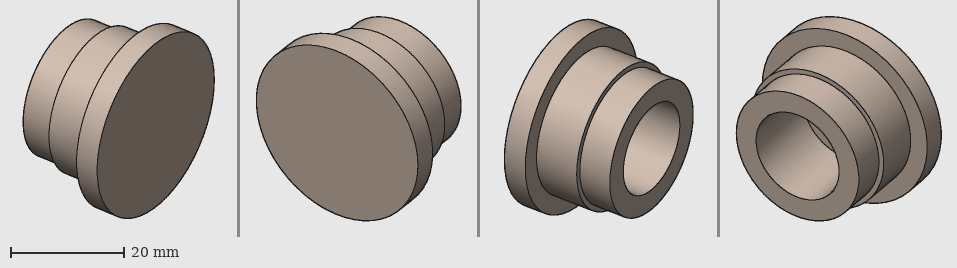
import cadquery as cq

nose_diameter = 26.0
nose_length = 6.4
body_diameter = 28.0
body_length = 8.6
flange_diameter = 35.0
flange_thickness = 4.5
bore_diameter = 17.6

bore_depth = nose_length + body_length


def cylinder_along_x(start_x, diameter, length):
    """Solid cylinder on the X axis, running toward +X from start_x."""
    return cq.Workplane("YZ", origin=(start_x, 0, 0)).circle(diameter / 2).extrude(length)


def stepped_plug():
    """Nose, body and flange stacked in order of growing diameter."""
    nose = cylinder_along_x(0, nose_diameter, nose_length)
    body = cylinder_along_x(nose_length, body_diameter, body_length)
    flange = cylinder_along_x(nose_length + body_length, flange_diameter, flange_thickness)
    return nose.union(body).union(flange)


def blind_bore():
    """Cutter for the flat-bottomed bore that opens at the nose end."""
    return cylinder_along_x(0, bore_diameter, bore_depth)


result = stepped_plug().cut(blind_bore())